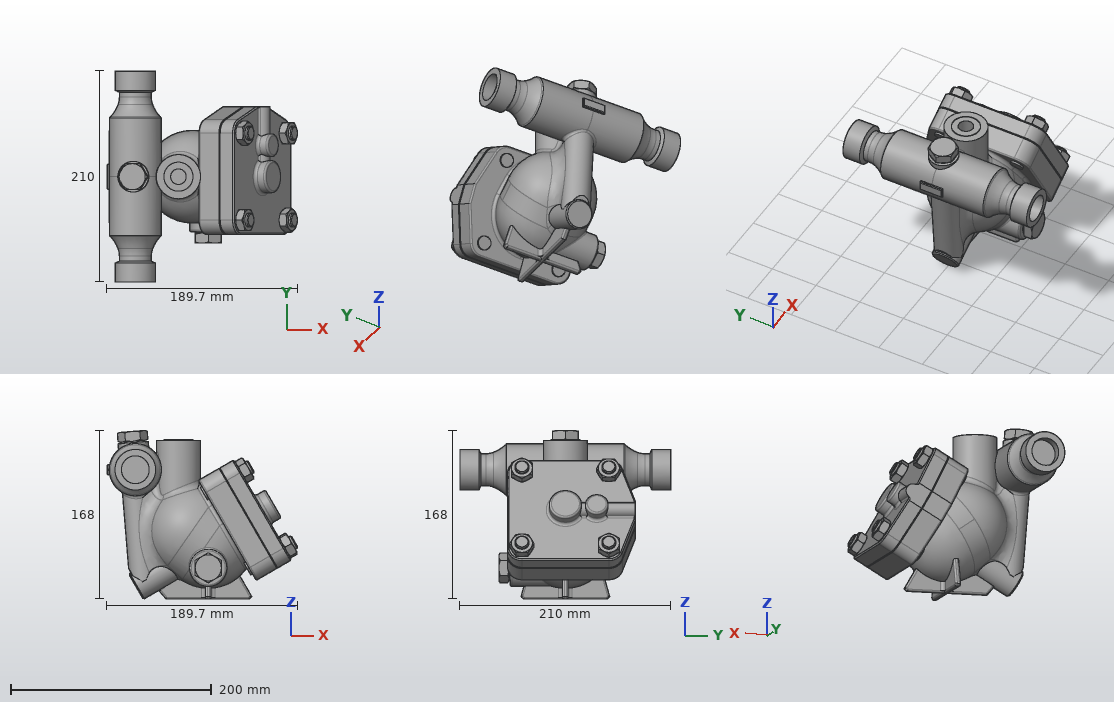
import cadquery as cq
import math

COVER_TILT = 30.0
LEG_TILT = 4.65
TOLERANCE = 1e-3

PIPE_DIA = 52.0
PIPE_HALF_LENGTH = 105.0
PIPE_BODY_HALF = 58.5
PIPE_EDGE_CHAMFER = 1.2
SHOULDER_DIA = 34.7
SHOULDER_END = 71.7
NECK_DIA = 32.0
NECK_START = 79.1
NECK_END = 84.0
COLLAR_DIA = 40.5
COLLAR_LENGTH = 19.0
SOCKET_DIA = 27.7
SOCKET_DEPTH = 13.0

PAD_LENGTH = 25.2
PAD_HEIGHT = 10.2
PAD_TOP = 28.1
PAD_CHAMFER = 0.9

CHAMBER_RADIUS = 46.2
CHAMBER_UPPER = (56.5, 0, -60.8)
CHAMBER_LOWER = (72.6, 0, -72.0)

INLET_X = 42.9
INLET_DIA = 44.0
INLET_TOP = 29.3
INLET_BLEND = 7.0
FACE_RING_DIA = 29.0
FACE_RING_HEIGHT = 0.6
FACE_RING_ROOT = 1.0
INLET_BORE_DIA = 15.5
INLET_BORE_DEPTH = 25.0

LEG_DIA = 29.5
LEG_TOP = 10.0
LEG_BOTTOM = -130.0
LEG_BLEND = 16.0
LEG_PIPE_BLEND = 3.0
LEG_TRIM_DROP = 100.2
LEG_TRIM_INNER = -22.0
LEG_TRIM_OUTER = -55.0
BARREL_DIA = 29.3
BARREL_DROP = 101.2
BARREL_END = -57.7
BARREL_ROOT = 10.0
BARREL_CHAMFER = 1.3

PLUG_FLATS = 26.0
PLUG_HEAD = 9.9
PLUG_NECK_DIA = 24.0
PLUG_GAP = 1.3
TOP_BOSS_DIA = 30.5
TOP_BOSS_END = 27.1
DRAIN_BOSS_DIA = 37.0
DRAIN_BOSS_END = 54.9
DRAIN_BOSS_ROUND = 1.6
DRAIN_BOSS_BLEND = 1.5
DRAIN_Z = -97.7
HEX_TURN_ANGLE = 30.0

FLANGE_DROP = 98.05
FLANGE_BACK = 49.1
FLANGE_FRONT = 72.8
GASKET = 1.0
GASKET_INSET = 0.7
COVER_FACE = 89.8
COVER_CHAMFER = 1.4
FLANGE_BACK_ROUND = 1.6
BOLT_HALF_PITCH = 43.25
CORNER_RADIUS = 14.3
EAR_Y = 69.8
EAR_HALF_WIDTH = 10.35
FLANGE_BLEND = 3.0

NUT_FLATS = 21.0
NUT_HEIGHT = 8.6
STUD_DIA = 14.0
STUD_END = 101.5
STUD_CHAMFER = 1.0
STUD_BACK_HEIGHT = 2.0

BOSS_DIA = 32.0
SIDE_BOSS_DIA = 22.7
SIDE_BOSS_Y = 31.3
BOSS_END = 102.0
BOSS_ROUND = 2.0
BOSS_BLEND = 3.0
RIDGE_RADIUS = 7.3
RIDGE_BLEND = 2.0

FOOT_BOTTOM = -128.8
FOOT_THICKNESS = 5.6
FOOT_X = 72.6
FOOT_X_HALF = 43.4
FOOT_X_TOP = 12.0
FOOT_HEEL_X = 30.6
FOOT_SPUR_X = 23.0
FOOT_SPUR_Z = -120.0
FOOT_ROOT_X = 40.0
FOOT_ROOT_Z = -105.0
FOOT_Y_HALF = 44.2
FOOT_Y_TOP = 29.0
FOOT_CORNER = 2.5
FOOT_EDGE_ROUND = 1.8
FOOT_JOINT_RADIUS = 3.8


tilt = math.radians(COVER_TILT)
COVER_PLANE = cq.Plane(
    origin=(0, 0, 0),
    xDir=(math.sin(tilt), 0, -math.cos(tilt)),
    normal=(math.cos(tilt), 0, math.sin(tilt)),
)
leg_tilt = math.radians(LEG_TILT)
LEG_PLANE = cq.Plane(
    origin=(0, 0, 0),
    xDir=(math.cos(leg_tilt), 0, math.sin(leg_tilt)),
    normal=(-math.sin(leg_tilt), 0, math.cos(leg_tilt)),
)
DRAIN_PLANE = cq.Plane(origin=(CHAMBER_LOWER[0], 0, DRAIN_Z), xDir=(1, 0, 0), normal=(0, -1, 0))


def rod(plane, x, y, start, end, diameter):
    """Cylinder along the plane's normal, between two heights."""
    return cq.Workplane(plane).workplane(offset=start).center(x, y).circle(diameter / 2).extrude(end - start)


def blend(first, second, radius):
    """Join two solids and round the edges where their surfaces meet."""
    joined = first.union(second)
    shells = [first.val().Shells()[0], second.val().Shells()[0]]

    def on_both(edge):
        points = [cq.Vertex.makeVertex(*p.toTuple()) for p in edge.positions([0.2, 0.5, 0.8])]
        return all(point.distance(shell) < TOLERANCE for point in points for shell in shells)

    seams = [edge for edge in joined.edges().vals() if on_both(edge)]
    return joined.newObject(seams).fillet(radius)


def hex_head(plane, x, y, start, height, flats, first_corner):
    """Hexagon with both ends turned to a circle; first_corner is the corner angle in degrees."""
    corner_radius = flats / math.sqrt(3)
    turned_width = corner_radius - flats / 2
    turned_height = turned_width * math.tan(math.radians(HEX_TURN_ANGLE))
    corners = []
    for index in range(6):
        angle = math.radians(first_corner + 60 * index)
        corners.append((corner_radius * math.cos(angle), corner_radius * math.sin(angle)))
    prism = cq.Workplane(plane).workplane(offset=start).center(x, y).polyline(corners).close().extrude(height)
    blank = rod(plane, x, y, start, start + height, 2 * corner_radius)
    blank = blank.edges().chamfer(turned_height, turned_width)
    return prism.intersect(blank)


def make_pipe():
    socket_floor = PIPE_HALF_LENGTH - SOCKET_DEPTH
    shoulder_start = (PIPE_DIA / 2 - PIPE_EDGE_CHAMFER, PIPE_BODY_HALF + PIPE_EDGE_CHAMFER)
    half = (
        cq.Workplane("XY")
        .moveTo(0, 0)
        .lineTo(0, socket_floor)
        .lineTo(SOCKET_DIA / 2, socket_floor)
        .lineTo(SOCKET_DIA / 2, PIPE_HALF_LENGTH)
        .lineTo(COLLAR_DIA / 2, PIPE_HALF_LENGTH)
        .lineTo(COLLAR_DIA / 2, PIPE_HALF_LENGTH - COLLAR_LENGTH)
        .lineTo(NECK_DIA / 2, NECK_END)
        .lineTo(NECK_DIA / 2, NECK_START)
        .tangentArcPoint((SHOULDER_DIA / 2, SHOULDER_END), relative=False)
        .tangentArcPoint(shoulder_start, relative=False)
        .lineTo(PIPE_DIA / 2, PIPE_BODY_HALF)
        .lineTo(PIPE_DIA / 2, 0)
        .close()
        .revolve(360, (0, 0, 0), (0, 1, 0))
    )
    return half.union(half.mirror("XZ"))


def make_pad():
    pad = cq.Workplane("YZ").rect(PAD_LENGTH, PAD_HEIGHT).extrude(-PAD_TOP)
    return pad.faces("<X").chamfer(PAD_CHAMFER)


def make_chamber():
    upper = cq.Vector(*CHAMBER_UPPER)
    lower = cq.Vector(*CHAMBER_LOWER)
    span = lower - upper
    ball = cq.Workplane("XY").sphere(CHAMBER_RADIUS)
    plane = cq.Plane(origin=CHAMBER_UPPER, xDir=(0, 1, 0), normal=span.toTuple())
    middle = cq.Workplane(plane).circle(CHAMBER_RADIUS).extrude(span.Length)
    return middle.union(ball.translate(upper)).union(ball.translate(lower))


def make_inlet():
    return rod(cq.Plane.XY(), INLET_X, 0, CHAMBER_UPPER[2], INLET_TOP, INLET_DIA)


def make_face_ring():
    ring_top = INLET_TOP + FACE_RING_HEIGHT
    return rod(cq.Plane.XY(), INLET_X, 0, INLET_TOP - FACE_RING_ROOT, ring_top, FACE_RING_DIA)


def make_inlet_bore():
    top = INLET_TOP + FACE_RING_HEIGHT
    return rod(cq.Plane.XY(), INLET_X, 0, top - INLET_BORE_DEPTH, top, INLET_BORE_DIA)


def make_leg():
    return rod(LEG_PLANE, 0, 0, LEG_BOTTOM, LEG_TOP, LEG_DIA)


def trim_leg(solid):
    """Remove the leg's tail, which would stand out below and beyond the barrel."""
    size = 2 * LEG_DIA
    below = cq.Workplane(COVER_PLANE).workplane(offset=LEG_TRIM_INNER).center(LEG_TRIM_DROP + size / 2, 0)
    beyond = cq.Workplane(COVER_PLANE).workplane(offset=LEG_TRIM_OUTER).center(LEG_TRIM_DROP, 0)
    solid = solid.cut(below.rect(size, size).extrude(2 * BARREL_END))
    return solid.cut(beyond.rect(size, size).extrude(BARREL_END))


def make_barrel():
    barrel = rod(COVER_PLANE, BARREL_DROP, 0, BARREL_END, BARREL_ROOT, BARREL_DIA)
    end_point = COVER_PLANE.toWorldCoords((BARREL_DROP, 0, BARREL_END))
    return barrel.faces(cq.NearestToPointSelector(end_point.toTuple())).chamfer(BARREL_CHAMFER)


def make_drain_boss():
    boss = rod(DRAIN_PLANE, 0, 0, 0, DRAIN_BOSS_END, DRAIN_BOSS_DIA)
    return boss.faces("<Y").edges().fillet(DRAIN_BOSS_ROUND)


def make_plug(plane, boss_end, first_corner):
    head_start = boss_end + PLUG_GAP
    neck = rod(plane, 0, 0, boss_end - PLUG_GAP, head_start, PLUG_NECK_DIA)
    return neck.union(hex_head(plane, 0, 0, head_start, PLUG_HEAD, PLUG_FLATS, first_corner))


def flange_slab(start, end, inset=0.0):
    """Rounded square with a tapered ear on the +Y side, between two heights on the cover axis."""
    side = BOLT_HALF_PITCH + CORNER_RADIUS
    tip_drop = EAR_HALF_WIDTH - BOLT_HALF_PITCH
    tip_y = EAR_Y - BOLT_HALF_PITCH
    tip_angle = math.atan2(tip_y, tip_drop)
    touch_angle = tip_angle - math.acos(CORNER_RADIUS / math.hypot(tip_drop, tip_y))

    def on_corner(angle):
        return (
            BOLT_HALF_PITCH + CORNER_RADIUS * math.cos(angle),
            BOLT_HALF_PITCH + CORNER_RADIUS * math.sin(angle),
        )

    touch = on_corner(touch_angle)
    middle = on_corner(touch_angle / 2)
    round_middle = BOLT_HALF_PITCH + CORNER_RADIUS / math.sqrt(2)
    outline = (
        cq.Workplane(COVER_PLANE)
        .workplane(offset=start)
        .center(FLANGE_DROP, 0)
        .moveTo(side, -BOLT_HALF_PITCH)
        .lineTo(side, BOLT_HALF_PITCH)
        .threePointArc(middle, touch)
        .lineTo(EAR_HALF_WIDTH, EAR_Y)
        .lineTo(-EAR_HALF_WIDTH, EAR_Y)
        .lineTo(-touch[0], touch[1])
        .threePointArc((-middle[0], middle[1]), (-side, BOLT_HALF_PITCH))
        .lineTo(-side, -BOLT_HALF_PITCH)
        .threePointArc((-round_middle, -round_middle), (-BOLT_HALF_PITCH, -side))
        .lineTo(BOLT_HALF_PITCH, -side)
        .threePointArc((round_middle, -round_middle), (side, -BOLT_HALF_PITCH))
        .close()
    )
    if inset:
        outline = outline.offset2D(-inset)
    return outline.extrude(end - start)


def cover_end(solid, y, height):
    """Flat end of a solid on the cover at the given height."""
    point = COVER_PLANE.toWorldCoords((FLANGE_DROP, y, height))
    return solid.faces(cq.NearestToPointSelector(point.toTuple()))


def make_body_flange(chamber):
    """Body flange with a rounded joint to the part of the chamber behind it."""
    slab = flange_slab(FLANGE_BACK, FLANGE_FRONT)
    slab = cover_end(slab, 0, FLANGE_BACK).edges().fillet(FLANGE_BACK_ROUND)
    beyond = flange_slab(FLANGE_BACK, COVER_FACE)
    return blend(chamber.cut(beyond), slab, FLANGE_BLEND)


def make_cover_boss(y, diameter):
    boss = rod(COVER_PLANE, FLANGE_DROP, y, COVER_FACE, BOSS_END, diameter)
    return cover_end(boss, y, BOSS_END).edges().fillet(BOSS_ROUND)


def make_ridge():
    """Half-round ridge over the passage from the middle boss to the ear."""
    start = COVER_PLANE.toWorldCoords((FLANGE_DROP, 0, COVER_FACE))
    plane = cq.Plane(origin=start.toTuple(), xDir=(1, 0, 0), normal=(0, 1, 0))
    return cq.Workplane(plane).circle(RIDGE_RADIUS).extrude(EAR_Y)


def make_cover():
    gasket_end = FLANGE_FRONT + GASKET
    gasket = flange_slab(FLANGE_FRONT - GASKET, gasket_end + GASKET, GASKET_INSET)
    slab = flange_slab(gasket_end, COVER_FACE)
    slab = cover_end(slab, 0, COVER_FACE).edges().chamfer(COVER_CHAMFER)
    cover = slab.union(gasket)
    for y, diameter in ((0, BOSS_DIA), (SIDE_BOSS_Y, SIDE_BOSS_DIA)):
        cover = cover.union(blend(slab, make_cover_boss(y, diameter), BOSS_BLEND))
    return cover.union(blend(slab, make_ridge(), RIDGE_BLEND))


def make_fastener(drop_side, y_side):
    """Stud with its nut on the cover and its plain end behind the flange."""
    drop = FLANGE_DROP + drop_side * BOLT_HALF_PITCH
    y = y_side * BOLT_HALF_PITCH
    first_corner = 30.0 if drop_side * y_side < 0 else 0.0
    nut = hex_head(COVER_PLANE, drop, y, COVER_FACE, NUT_HEIGHT, NUT_FLATS, first_corner)
    stud = rod(COVER_PLANE, drop, y, COVER_FACE, STUD_END, STUD_DIA).edges().chamfer(STUD_CHAMFER)
    back_end = rod(COVER_PLANE, drop, y, FLANGE_BACK - STUD_BACK_HEIGHT, FLANGE_FRONT, STUD_DIA)
    return nut.union(stud).union(back_end)


def foot_plate(plane, outline):
    plate = cq.Workplane(plane).workplane(offset=-FOOT_THICKNESS / 2).polyline(outline).close()
    plate = plate.extrude(FOOT_THICKNESS)
    sides = plate.faces(cq.ParallelDirSelector(plane.zDir))
    return sides.edges().fillet(FOOT_EDGE_ROUND)


def make_foot_joint():
    """Post with four hollow corners that rounds the crossing of the foot plates."""
    near = FOOT_THICKNESS / 2
    far = near + FOOT_JOINT_RADIUS
    hollow = far - FOOT_JOINT_RADIUS / math.sqrt(2)
    return (
        cq.Workplane("XY", origin=(FOOT_X, 0, FOOT_BOTTOM + FOOT_EDGE_ROUND))
        .moveTo(far, -near)
        .lineTo(far, near)
        .threePointArc((hollow, hollow), (near, far))
        .lineTo(-near, far)
        .threePointArc((-hollow, hollow), (-far, near))
        .lineTo(-far, -near)
        .threePointArc((-hollow, -hollow), (-near, -far))
        .lineTo(near, -far)
        .threePointArc((hollow, -hollow), (far, -near))
        .close()
        .extrude(CHAMBER_LOWER[2] - FOOT_BOTTOM)
    )


def make_feet():
    corner_z = FOOT_BOTTOM + FOOT_CORNER
    top_z = CHAMBER_LOWER[2]
    along_x = foot_plate(
        cq.Plane(origin=(FOOT_X, 0, 0), xDir=(1, 0, 0), normal=(0, -1, 0)),
        [
            (FOOT_HEEL_X - FOOT_X, FOOT_BOTTOM),
            (FOOT_X_HALF - FOOT_CORNER, FOOT_BOTTOM),
            (FOOT_X_HALF, corner_z),
            (FOOT_X_TOP, top_z),
            (-FOOT_X_TOP, top_z),
            (FOOT_ROOT_X - FOOT_X, FOOT_ROOT_Z),
            (FOOT_SPUR_X - FOOT_X, FOOT_SPUR_Z),
        ],
    )
    along_y = foot_plate(
        cq.Plane(origin=(FOOT_X, 0, 0), xDir=(0, 1, 0), normal=(1, 0, 0)),
        [
            (FOOT_CORNER - FOOT_Y_HALF, FOOT_BOTTOM),
            (FOOT_Y_HALF - FOOT_CORNER, FOOT_BOTTOM),
            (FOOT_Y_HALF, corner_z),
            (FOOT_Y_TOP, top_z),
            (-FOOT_Y_TOP, top_z),
            (-FOOT_Y_HALF, corner_z),
        ],
    )
    return along_x.union(along_y).union(make_foot_joint())


pipe = make_pipe()
chamber = make_chamber()
inlet = make_inlet()
leg = make_leg()

body = blend(blend(chamber, leg, LEG_BLEND), inlet, INLET_BLEND)
result = trim_leg(body.union(blend(pipe, leg, LEG_PIPE_BLEND)))
result = result.union(make_barrel())
result = result.union(make_body_flange(chamber))
result = result.union(blend(chamber, make_drain_boss(), DRAIN_BOSS_BLEND))
result = result.union(make_feet())
result = result.union(make_pad())
result = result.union(rod(LEG_PLANE, 0, 0, 0, TOP_BOSS_END, TOP_BOSS_DIA))
result = result.union(make_face_ring()).cut(make_inlet_bore())

result = result.union(make_cover())
for drop_side in (-1, 1):
    for y_side in (-1, 1):
        result = result.union(make_fastener(drop_side, y_side))
result = result.union(make_plug(DRAIN_PLANE, DRAIN_BOSS_END, 30.0))
result = result.union(make_plug(LEG_PLANE, TOP_BOSS_END, 0.0))